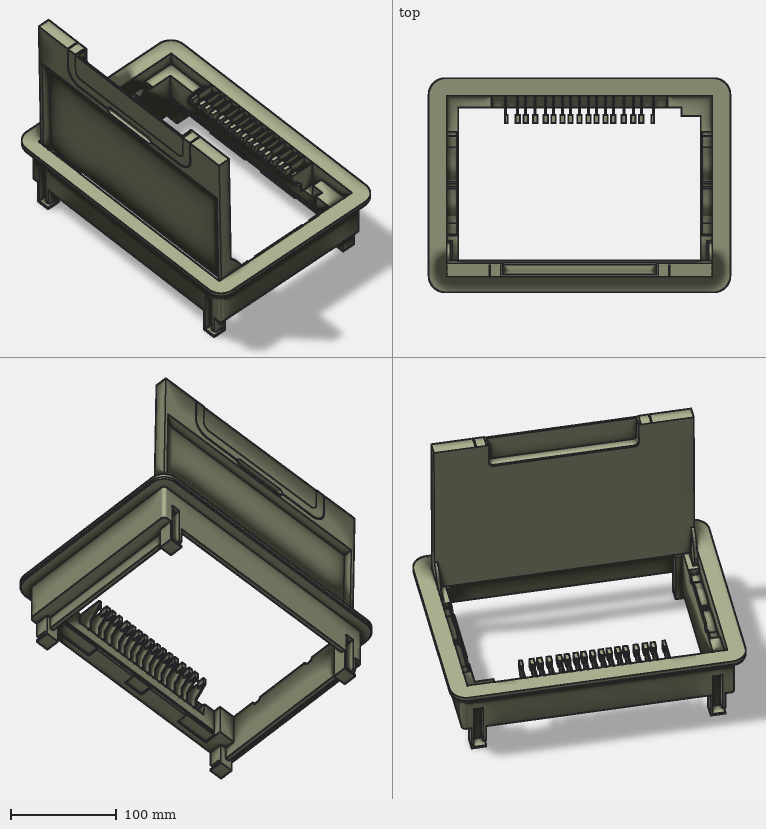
import cadquery as cq

flange_length, flange_width, flange_height = 285.97, 202.97, 6.0
flange_radius = 16.0
flange_chamfer_in, flange_chamfer_up = 0.8, 2.0
opening_half_x = 125.7
opening_back_y, opening_front_y = 84.7, -86.6

box_length, box_width, box_bottom = 263.4, 181.0, -50.0
box_radius = 4.2
inner_half_x = 114.7
ledge_edge_y = 73.4
corner_ledge_z, middle_ledge_z = -14.0, -30.0
middle_ledge_half_top, middle_ledge_half_bottom = 83.6, 82.6
post_x, post_edge_y = 96.5, 65.5

slit_top, slit_bottom = -43.0, -46.0
sill_bottom = -48.0
tab_inner_x, tab_outer_x = 11.0, 59.0

leg_size = 14.3
leg_bottom = -76.05
leg_center_x = 115.5
leg_slot_width, leg_slot_depth, leg_slot_side_wall = 9.4, 11.0, 2.0
leg_slot_top, leg_slot_bottom = -26.0, -74.0
leg_column_top = -22.5
notch_top, notch_chamfer = -70.2, 2.2
skirt_bottom, skirt_thickness = -65.0, 4.0

fin_offsets = (0, 8.5, 16, 24.5, 32, 42, 51, 58.5, 70)
fin_top, fin_thickness = -1.0, 1.4
fin_tip_y, fin_tip_bottom = 58.8, -8.0
fin_foot_y, fin_foot_top = 71.0, -20.5
paddle_start_y, paddle_width, paddle_bottom = 66.7, 4.5, -9.0

pocket_inner_x = 116.4
pocket_back_y, pocket_front_y, pocket_floor = 50.7, -47.7, -30.0
pad_half, pad_top = 46.2, -20.0
pad_ramp_drop, pad_ramp_gap = 3.0, 0.8
pad_step = 1.0
pad_outer_step, bump_outer, bump_inner, bump_rise = 36.2, 29.2, 5.2, 1.8
ridge_outer, ridge_inner = 3.4, 1.6
notch_center_y, notch_radius = 35.0, 4.6

lid_tilt = 1.0
lid_half_x, lid_thickness, lid_length = 125.6, 12.9, 190.0
lid_top_y, lid_top_z = -73.8, 156.4
carpet_half_x, carpet_depth, carpet_top = 121.8, 9.3, -47.9

foot_thickness, foot_slot_width, foot_slot_back_y = 3.3, 5.3, -52.5
foot_bottom = -22.0
foot_front_y, foot_shoulder_y, foot_shoulder_z = -78.0, -71.3, 18.0
foot_curve_y, foot_curve_z = -61.2, 6.8
foot_heel_y, foot_heel_z = -54.5, -8.0

groove_half_x, groove_width, groove_bottom, groove_radius = 85.4, 0.9, -41.0, 16.0
rear_lip = 2.0
cup_half_x, cup_bottom, cup_radius = 74.6, -29.0, 7.0
cup_wall, cup_front_wall, cup_drop = 2.1, 1.8, 0.8
finger_half_length, finger_radius, finger_z = 30.0, 4.0, -40.7


def block(x0, x1, y0, y1, z0, z1):
    size = (x1 - x0, y1 - y0, z1 - z0)
    return cq.Workplane("XY").box(*size, centered=False).translate((x0, y0, z0))


def side_extrusion(outline, x0, x1):
    """Extrude a closed YZ outline from x0 to x1."""
    return outline.extrude(x1 - x0).translate((x0, 0, 0))


def mirrored_pair(shape):
    return shape.union(shape.mirror("YZ"))



def flange():
    plate = (
        cq.Workplane("XY")
        .box(flange_length, flange_width, flange_height, centered=(True, True, False))
        .edges("|Z").fillet(flange_radius)
        .faces("<Z").chamfer(flange_chamfer_up, flange_chamfer_in)
    )
    return plate.translate((0, 0, -flange_height))


def box_shell():
    shell = (
        cq.Workplane("XY")
        .rect(box_length, box_width).extrude(box_bottom)
        .edges("|Z").fillet(box_radius)
    )
    return flange().union(shell)


def box_openings():
    upper = block(-opening_half_x, opening_half_x, opening_front_y, opening_back_y, corner_ledge_z, 0)
    through = block(-inner_half_x, inner_half_x, opening_front_y, ledge_edge_y, box_bottom, 0)
    post = block(post_x, inner_half_x, post_edge_y, ledge_edge_y, box_bottom, corner_ledge_z)
    middle = (
        cq.Workplane("XZ")
        .moveTo(-middle_ledge_half_top, corner_ledge_z)
        .lineTo(middle_ledge_half_top, corner_ledge_z)
        .lineTo(middle_ledge_half_bottom, middle_ledge_z)
        .lineTo(-middle_ledge_half_bottom, middle_ledge_z)
        .close()
        .extrude(ledge_edge_y - opening_back_y)
        .translate((0, ledge_edge_y, 0))
    )
    return upper.union(through.cut(post)).union(middle)


def back_sill_cuts():
    """Slit below the back ledge, and the raised bottom edge that leaves two tabs hanging."""
    slit = block(-inner_half_x, post_x, ledge_edge_y, opening_back_y, slit_bottom, slit_top)
    raised = block(-inner_half_x, post_x, ledge_edge_y, opening_back_y, box_bottom, sill_bottom)
    tab = block(tab_inner_x, tab_outer_x, ledge_edge_y, opening_back_y, box_bottom, sill_bottom)
    return slit.union(raised.cut(mirrored_pair(tab)))


def leg_parts(x_sign, y_sign):
    """One leg, built at the front and turned half a circle for the back; returns leg and slot."""
    half = leg_size / 2
    front = -box_width / 2
    leg = block(-half, half, front, front + leg_size, leg_bottom, leg_column_top)
    slot_left = -half + leg_slot_side_wall
    slot = block(slot_left, slot_left + leg_slot_width, front, front + leg_slot_depth,
                 leg_slot_bottom, leg_slot_top)
    notch_outline = (
        cq.Workplane("YZ")
        .moveTo(front, leg_slot_bottom)
        .lineTo(front + leg_slot_depth, leg_slot_bottom)
        .lineTo(front + leg_slot_depth, notch_top)
        .lineTo(front + notch_chamfer, notch_top)
        .lineTo(front, notch_top + notch_chamfer)
        .close()
    )
    slot = slot.union(side_extrusion(notch_outline, 0, half))
    turn = 0 if y_sign < 0 else 180

    def place(shape):
        return shape.rotate((0, 0, 0), (0, 0, 1), turn).translate((x_sign * leg_center_x, 0, 0))

    return place(leg), place(slot)


def skirt():
    half_y = box_width / 2 - leg_size
    plate = block(inner_half_x, inner_half_x + skirt_thickness, -half_y, half_y, skirt_bottom, box_bottom)
    return mirrored_pair(plate)


def fin_outline():
    return (
        cq.Workplane("YZ")
        .moveTo(opening_back_y, fin_top)
        .lineTo(fin_tip_y, fin_top)
        .lineTo(fin_tip_y, fin_tip_bottom)
        .lineTo(fin_foot_y, fin_foot_top)
        .lineTo(fin_foot_y, middle_ledge_z)
        .lineTo(opening_back_y, middle_ledge_z)
        .close()
    )


def fin(x, paddle_x0, paddle_x1):
    stem = side_extrusion(fin_outline(), x - fin_thickness / 2, x + fin_thickness / 2)
    paddle = side_extrusion(fin_outline(), paddle_x0, paddle_x1)
    tip = block(paddle_x0, paddle_x1, fin_tip_y, paddle_start_y, paddle_bottom, fin_top)
    return stem.union(paddle.intersect(tip))


def fins():
    row = fin(0, -paddle_width / 2, paddle_width / 2)
    for x in fin_offsets[1:]:
        outer = fin_thickness / 2 if x == fin_offsets[-1] else paddle_width / 2
        row = row.union(mirrored_pair(fin(x, x - paddle_width / 2, x + outer)))
    return row


def pad():
    """Pad in the side pocket: end steps, two convex bumps, a stepped valley and a ramp at the back."""
    bump_z = pad_top - pad_step
    half_outline = (
        cq.Workplane("YZ")
        .moveTo(0, pocket_floor)
        .lineTo(0, bump_z - 2 * pad_step)
        .lineTo(ridge_inner, bump_z - 2 * pad_step)
        .lineTo(ridge_inner, bump_z - pad_step)
        .lineTo(ridge_outer, bump_z - pad_step)
        .lineTo(ridge_outer, bump_z)
        .lineTo(bump_inner, bump_z)
        .threePointArc(((bump_outer + bump_inner) / 2, bump_z + bump_rise), (bump_outer, bump_z))
        .lineTo(pad_outer_step, bump_z)
        .lineTo(pad_outer_step, pad_top)
        .lineTo(pad_half, pad_top)
        .lineTo(pad_half, pocket_floor)
        .close()
    )
    half = side_extrusion(half_outline, pocket_inner_x, opening_half_x)
    ramp_outline = (
        cq.Workplane("YZ")
        .moveTo(pad_half + pad_ramp_gap, pocket_floor)
        .lineTo(pad_half + pad_ramp_gap, bump_z)
        .lineTo(pocket_back_y, bump_z - pad_ramp_drop)
        .lineTo(pocket_back_y, pocket_floor)
        .close()
    )
    ramp = side_extrusion(ramp_outline, pocket_inner_x, opening_half_x)
    return half.union(half.mirror("XZ")).union(ramp)


def side_cuts():
    """Pocket around the pad, two round notches in its inner wall and the slot for the lid's foot."""
    pocket = block(pocket_inner_x, opening_half_x, pocket_front_y, pocket_back_y,
                   pocket_floor, corner_ledge_z).cut(pad())
    notches = (
        cq.Workplane("YZ")
        .pushPoints([(notch_center_y, corner_ledge_z), (-notch_center_y, corner_ledge_z)])
        .circle(notch_radius).extrude(pocket_inner_x - inner_half_x)
        .translate((inner_half_x, 0, 0))
    )
    foot_slot = block(opening_half_x - foot_slot_width, opening_half_x, opening_front_y,
                      foot_slot_back_y, foot_bottom, corner_ledge_z)
    return mirrored_pair(pocket.union(notches).union(foot_slot))


def make_frame():
    frame = box_shell().cut(box_openings()).cut(back_sill_cuts()).cut(side_cuts())
    frame = frame.union(skirt()).union(fins())
    for x_sign in (-1, 1):
        for y_sign in (-1, 1):
            leg, slot = leg_parts(x_sign, y_sign)
            frame = frame.union(leg).cut(slot)
    return frame



def place_on_lid(shape):
    return shape.rotate((0, 0, 0), (1, 0, 0), lid_tilt).translate((0, lid_top_y, lid_top_z))


def u_shape(half_x, bottom, radius, y0, y1):
    """Plate with two rounded lower corners, open past the top edge of the lid."""
    plate = block(-half_x, half_x, y0, y1, bottom, 2 * radius)
    return plate.edges("|Y and <Z").fillet(radius)


def finger_groove():
    """Round-ended half-cylinder scooped across the bottom of the U-shaped groove."""
    straight = finger_half_length - finger_radius
    scoop = cq.Workplane("YZ").circle(finger_radius).extrude(2 * straight).translate((-straight, 0, 0))
    for x in (-straight, straight):
        scoop = scoop.union(cq.Workplane("XY").sphere(finger_radius).translate((x, 0, 0)))
    return scoop.translate((0, -lid_thickness, finger_z))


def u_groove():
    outer = u_shape(groove_half_x, groove_bottom, groove_radius, -lid_thickness, -rear_lip)
    inner = u_shape(groove_half_x - groove_width, groove_bottom + groove_width,
                    groove_radius - groove_width, -lid_thickness, -rear_lip)
    return outer.cut(inner)


def cup_inside(y0, y1):
    return u_shape(cup_half_x - cup_wall, cup_bottom + cup_wall, cup_radius - cup_wall, y0, y1)


def cup_outside():
    return u_shape(cup_half_x, cup_bottom, cup_radius, -lid_thickness, -rear_lip)


def lid_foot():
    outline = (
        cq.Workplane("YZ")
        .moveTo(foot_front_y, foot_shoulder_z)
        .lineTo(foot_shoulder_y, foot_shoulder_z)
        .threePointArc((foot_curve_y, foot_curve_z), (foot_heel_y, foot_heel_z))
        .lineTo(foot_heel_y, foot_bottom)
        .lineTo(foot_front_y, foot_bottom)
        .close()
    )
    return mirrored_pair(side_extrusion(outline, lid_half_x - foot_thickness, lid_half_x))


def make_lid():
    plate = block(-lid_half_x, lid_half_x, -lid_thickness, 0, -lid_length, 0)
    carpet = block(-carpet_half_x, carpet_half_x, -lid_thickness, carpet_depth - lid_thickness,
                   -lid_length, carpet_top)
    cup_seat = cup_outside().union(cup_inside(-lid_thickness, 0))
    plate = plate.cut(carpet).cut(cup_seat).cut(u_groove()).cut(finger_groove())
    plate = place_on_lid(plate)
    below = block(-lid_half_x, lid_half_x, -flange_width, 0, -lid_length, corner_ledge_z)
    return plate.cut(below).union(lid_foot())


def make_cup():
    """Thin cup, open at the top and the rear, held behind by the rear lip of the lid."""
    above = block(-cup_half_x, cup_half_x, -lid_thickness, 0, -cup_drop, 3 * cup_radius)
    hollow = cup_inside(cup_front_wall - lid_thickness, 0)
    return place_on_lid(cup_outside().cut(hollow).cut(above))


frame = make_frame()
lid = make_lid()
cup = make_cup()

result = cq.Compound.makeCompound([frame.val(), lid.val(), cup.val()])